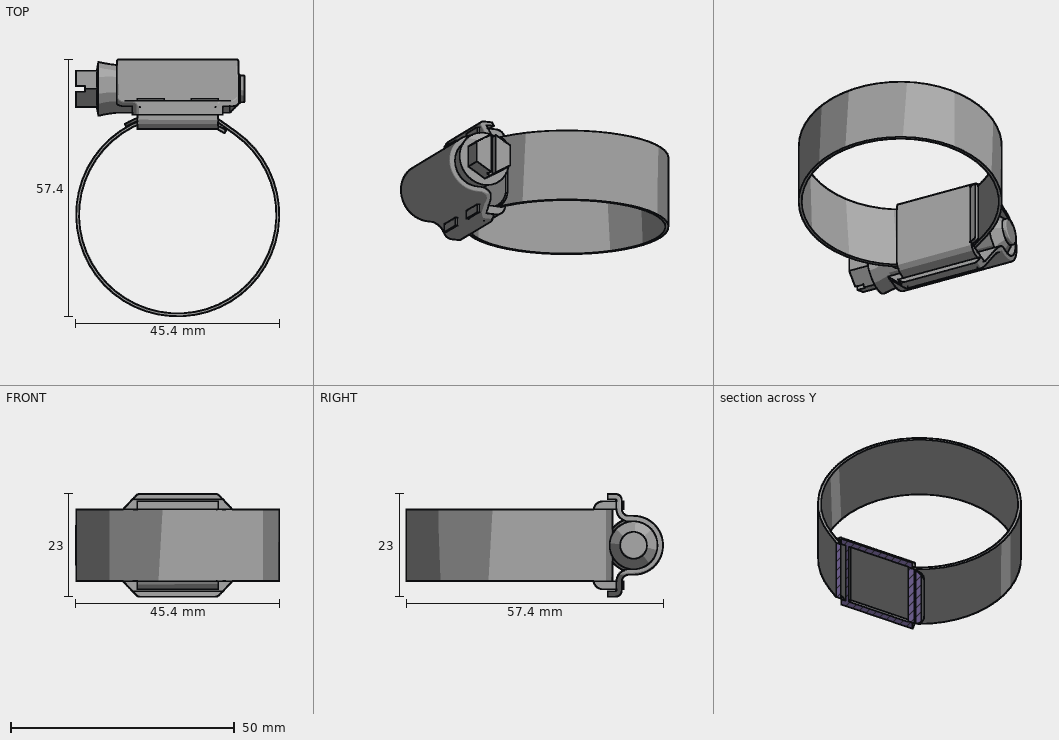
import cadquery as cq
import math


band_width = 16.0
band_thickness = 0.7
loop_outer_radius = 22.69
loop_inner_radius = loop_outer_radius - band_thickness
lap_clearance = 0.05
lap_inner_radius = loop_outer_radius + lap_clearance
lap_outer_radius = lap_inner_radius + band_thickness
joggle_angle = 35.3
inner_end_angle = 15.0
loop_middle_angle = 180.0
lap_end_angle = -30.3
lap_corner_radius = 3.0

screw_axis_y = 28.1
shank_radius = 5.35
shank_start_x = -13.6
flange_x = -17.7
flange_radius = 6.03
flange_middle_radius = 5.62
flange_dome_height = 0.7
hex_end_x = -22.7
hex_across_flats = 8.1
driver_slot_width = 1.2
driver_slot_depth = 2.0
tip_cone_end_x = 14.0
tip_radius = 3.0
tip_end_x = 14.94
tip_fillet = 0.3

sheet_thickness = 1.25
barrel_inner_radius = shank_radius
barrel_outer_radius = barrel_inner_radius + sheet_thickness
housing_half_length = 13.6
housing_height = 23.0
bend_radius = 1.5
inner_lip_bend_radius = bend_radius - sheet_thickness
inner_barrel_bend_radius = bend_radius + sheet_thickness
barrel_side_length = 1.1
barrel_bend_y = screw_axis_y - barrel_side_length
leg_outer_y = barrel_bend_y - bend_radius
leg_inner_y = leg_outer_y - sheet_thickness
lip_bend_y = leg_outer_y - bend_radius
lip_end_y = 22.32
lip_outer_z = housing_height / 2
lip_half_length = 8.9
ear_corner_radius = 1.2
ear_root_radius = 1.0
housing_edge_fillet = 0.5

saddle_length = 18.0
saddle_wall = 1.86
saddle_inner_z = band_width / 2
saddle_outer_z = saddle_inner_z + saddle_wall
saddle_corner_radius = 2.25
floor_outer_y = 19.1
floor_thickness = 0.8
tab_length = 6.0
tab_protrusion = 0.4
tab_top_y = leg_outer_y + tab_protrusion
tongue_angle = 28.5
tongue_length = 2.1
tongue_corner_radius = 0.6


def on_circle(radius, angle):
    """Point at an angle measured from +Y towards +X."""
    turn = math.radians(angle)
    return (radius * math.sin(turn), radius * math.cos(turn))


def point_on_bend(center, radius, angle):
    """Point (Y, Z) on a bend; the angle is measured from +Y towards +Z."""
    turn = math.radians(angle)
    return (center[0] + radius * math.cos(turn), center[1] + radius * math.sin(turn))


def make_band():
    outer_rise = math.degrees(math.acos(loop_outer_radius / lap_outer_radius))
    inner_rise = math.degrees(math.acos(loop_inner_radius / lap_inner_radius))
    outer_kink = joggle_angle - outer_rise
    inner_kink = joggle_angle - inner_rise
    band = (
        cq.Workplane("XY")
        .workplane(offset=-band_width / 2)
        .moveTo(*on_circle(loop_outer_radius, inner_end_angle))
        .threePointArc(
            on_circle(loop_outer_radius, loop_middle_angle),
            on_circle(loop_outer_radius, joggle_angle),
        )
        .lineTo(*on_circle(lap_outer_radius, outer_kink))
        .threePointArc(
            on_circle(lap_outer_radius, 0),
            on_circle(lap_outer_radius, lap_end_angle),
        )
        .lineTo(*on_circle(lap_inner_radius, lap_end_angle))
        .threePointArc(
            on_circle(lap_inner_radius, 0),
            on_circle(lap_inner_radius, inner_kink),
        )
        .lineTo(*on_circle(loop_inner_radius, joggle_angle))
        .threePointArc(
            on_circle(loop_inner_radius, loop_middle_angle),
            on_circle(loop_inner_radius, inner_end_angle),
        )
        .close()
        .extrude(band_width)
    )
    end_x, end_y = on_circle((lap_inner_radius + lap_outer_radius) / 2, lap_end_angle)
    corners = [
        cq.selectors.NearestToPointSelector((end_x, end_y, side * band_width / 2))
        for side in (-1, 1)
    ]
    return band.edges(corners[0] + corners[1]).fillet(lap_corner_radius)


def make_screw():
    middle_x = (flange_x + shank_start_x) / 2
    dome_x = flange_x - flange_dome_height
    dome_middle_x = dome_x + flange_dome_height / 4
    cone_start_x = tip_cone_end_x - (shank_radius - tip_radius)
    body = (
        cq.Workplane("XZ")
        .moveTo(dome_x, 0)
        .threePointArc((dome_middle_x, flange_radius / 2), (flange_x, flange_radius))
        .threePointArc((middle_x, flange_middle_radius), (shank_start_x, shank_radius))
        .lineTo(cone_start_x, shank_radius)
        .lineTo(tip_cone_end_x, tip_radius)
        .lineTo(tip_end_x, tip_radius)
        .lineTo(tip_end_x, 0)
        .close()
        .revolve(360, (0, 0), (1, 0))
        .faces(">X")
        .edges()
        .fillet(tip_fillet)
    )
    hexagon = (
        cq.Workplane("YZ", origin=(hex_end_x, 0, 0))
        .polygon(6, hex_across_flats, circumscribed=True)
        .extrude(flange_x - hex_end_x)
    )
    driver_slot = cq.Workplane("XY").box(2 * driver_slot_depth, driver_slot_width, 2 * hex_across_flats)
    screw = body.union(hexagon).cut(driver_slot.translate((hex_end_x, 0, 0)))
    recess = cq.Workplane("XY").circle(lap_outer_radius).extrude(band_width / 2, both=True)
    return screw.translate((0, screw_axis_y, 0)).cut(recess)


def make_housing():
    leg_start_z = barrel_outer_radius + bend_radius
    leg_end_z = lip_outer_z - bend_radius
    lip_inner_z = lip_outer_z - sheet_thickness
    near_bend_angle = 45
    far_bend_angle = 225
    axis = (screw_axis_y, 0)
    barrel_bend = (barrel_bend_y, leg_start_z)
    lip_bend = (lip_bend_y, leg_end_z)
    half = (
        cq.Workplane("YZ", origin=(-housing_half_length, 0, 0))
        .moveTo(screw_axis_y + barrel_outer_radius, 0)
        .threePointArc(
            point_on_bend(axis, barrel_outer_radius, near_bend_angle),
            (screw_axis_y, barrel_outer_radius),
        )
        .lineTo(barrel_bend_y, barrel_outer_radius)
        .threePointArc(point_on_bend(barrel_bend, bend_radius, far_bend_angle), (leg_outer_y, leg_start_z))
        .lineTo(leg_outer_y, leg_end_z)
        .threePointArc(point_on_bend(lip_bend, bend_radius, near_bend_angle), (lip_bend_y, lip_outer_z))
        .lineTo(lip_end_y, lip_outer_z)
        .lineTo(lip_end_y, lip_inner_z)
        .lineTo(lip_bend_y, lip_inner_z)
        .threePointArc(
            point_on_bend(lip_bend, inner_lip_bend_radius, near_bend_angle),
            (leg_inner_y, leg_end_z),
        )
        .lineTo(leg_inner_y, leg_start_z)
        .threePointArc(
            point_on_bend(barrel_bend, inner_barrel_bend_radius, far_bend_angle),
            (barrel_bend_y, barrel_inner_radius),
        )
        .lineTo(screw_axis_y, barrel_inner_radius)
        .threePointArc(
            point_on_bend(axis, barrel_inner_radius, near_bend_angle),
            (screw_axis_y + barrel_inner_radius, 0),
        )
        .close()
        .extrude(2 * housing_half_length)
    )
    root_corners = [
        cq.selectors.NearestToPointSelector((side * housing_half_length, screw_axis_y, barrel_outer_radius))
        for side in (-1, 1)
    ]
    outline = (
        cq.Workplane("XZ")
        .moveTo(-housing_half_length, 0)
        .lineTo(-housing_half_length, barrel_outer_radius)
        .lineTo(-lip_half_length, lip_outer_z)
        .lineTo(lip_half_length, lip_outer_z)
        .lineTo(housing_half_length, barrel_outer_radius)
        .lineTo(housing_half_length, 0)
        .close()
        .extrude(-2 * screw_axis_y)
        .edges("|Y and >Z")
        .fillet(ear_corner_radius)
        .edges(root_corners[0] + root_corners[1])
        .fillet(ear_root_radius)
    )
    half = half.intersect(outline)
    edge_y = (screw_axis_y + barrel_bend_y) / 2
    end_edges = [
        cq.selectors.NearestToPointSelector((side * housing_half_length, edge_y, barrel_outer_radius))
        for side in (-1, 1)
    ]
    half = half.edges(end_edges[0] + end_edges[1]).fillet(housing_edge_fillet)
    return half.union(half.mirror("XY"))


def make_saddle():
    floor_inner_y = floor_outer_y + floor_thickness
    channel_height = leg_inner_y - floor_outer_y
    saddle = (
        cq.Workplane("XY")
        .box(saddle_length, channel_height, 2 * saddle_outer_z, centered=(True, False, True))
        .edges("|X and <Y")
        .fillet(saddle_corner_radius)
        .translate((0, floor_outer_y, 0))
    )
    channel = cq.Workplane("XY").box(
        saddle_length, channel_height, 2 * saddle_inner_z, centered=(True, False, True)
    )
    saddle = saddle.cut(channel.translate((0, floor_inner_y, 0)))
    tab_x = (saddle_length - tab_length) / 2
    tab_z = (saddle_inner_z + saddle_outer_z) / 2
    tabs = (
        cq.Workplane("XY")
        .pushPoints([(x_side * tab_x, 0) for x_side in (-1, 1)])
        .box(tab_length, tab_top_y - leg_inner_y, saddle_wall, centered=(True, False, True))
    )
    for side in (-1, 1):
        saddle = saddle.union(tabs.translate((0, leg_inner_y, side * tab_z)))
    tongue = (
        cq.Workplane("XY")
        .box(2 * tongue_length, floor_thickness, band_width, centered=(True, False, True))
        .edges("|Y and >X")
        .fillet(tongue_corner_radius)
        .translate((0, -floor_thickness, 0))
        .rotate((0, 0, 0), (0, 0, 1), -tongue_angle)
        .translate((saddle_length / 2, floor_inner_y, 0))
    )
    return saddle.union(tongue)


band = make_band()
screw = make_screw()
saddle = make_saddle()
housing = make_housing().cut(saddle)

result = cq.Compound.makeCompound([band.val(), screw.val(), saddle.val(), housing.val()])